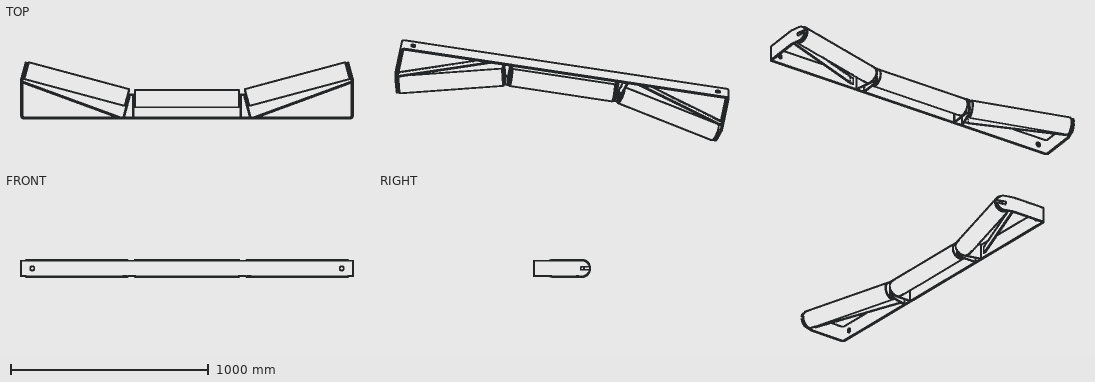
import cadquery as cq
import math

PLATE_WIDTH = 79.0

FRAME_LENGTH = 1680.0
PLATE_THICKNESS = 8.0
BEND_RADIUS = 13.0
LEG_HEIGHT = 198.0
BOLT_HOLE_DIAMETER = 22.0
BOLT_HOLE_X = 783.0

TILT = 15.0
ROLLER_DIAMETER = 89.0
ROLLER_LENGTH = 530.0
ROLLER_CHAMFER = 2.5
CENTRE_ROLLER_Y = 100.0
WING_ROLLER_X = 558.0
WING_ROLLER_Y = 175.0
AXLE_DIAMETER = 20.0
AXLE_FLAT_WIDTH = 15.0

BRACKET_THICKNESS = 5.0
BRACKET_GAP = 5.9
BRACKET_TOP_Y = 125.0

BRACE_WIDTH = 35.0
BRACE_THICKNESS = 6.0
BRACE_TOP_Y = 188.0
BRACE_FOOT_X = 341.0

tilt_sin = math.sin(math.radians(TILT))
tilt_cos = math.cos(math.radians(TILT))
half_length = FRAME_LENGTH / 2
leg_inner_x = half_length - PLATE_THICKNESS


def along_wing(along, across):
    """XY point on the right wing, measured along and across the axis from its roller's centre."""
    x = WING_ROLLER_X + along * tilt_cos - across * tilt_sin
    y = WING_ROLLER_Y + along * tilt_sin + across * tilt_cos
    return x, y


def wing_point_at_height(along, y):
    """XY point on the plane square to the right wing roller's axis at `along`, at height `y`."""
    across = (y - WING_ROLLER_Y - along * tilt_sin) / tilt_cos
    return along_wing(along, across)


def onto_right_wing(body):
    """Move a body from the X axis onto the right wing roller's axis."""
    return body.rotate((0, 0, 0), (0, 0, 1), TILT).translate((WING_ROLLER_X, WING_ROLLER_Y, 0))


def onto_centre(body):
    """Move a body from the X axis onto the centre roller's axis."""
    return body.translate((0, CENTRE_ROLLER_Y, 0))


def both_sides(body):
    """The body on the right and its mirror image on the left."""
    return [body, body.mirror("YZ")]


def bar(outline, width):
    """A bar with the given XY outline, centred on Z = 0."""
    return cq.Workplane("XY").polyline(outline).close().extrude(width / 2, both=True)


bracket_near = -ROLLER_LENGTH / 2 - BRACKET_GAP
bracket_far = bracket_near - BRACKET_THICKNESS
tongue_outer = (half_length - WING_ROLLER_X) * tilt_cos + (LEG_HEIGHT - WING_ROLLER_Y) * tilt_sin
tongue_inner = tongue_outer - PLATE_THICKNESS
upright_inner = ROLLER_LENGTH / 2 + BRACKET_GAP
upright_outer = upright_inner + BRACKET_THICKNESS


def flatted_axle(start, end):
    """An axle along X with flats facing up and down in Z."""
    rod = cq.Workplane("YZ", origin=(start, 0, 0)).circle(AXLE_DIAMETER / 2).extrude(end - start)
    flats = cq.Workplane("XY").box(2 * ROLLER_LENGTH, AXLE_DIAMETER, AXLE_FLAT_WIDTH)
    return rod.intersect(flats)


def axle_slot(start, end):
    """A slot along X that fits the axle and is open towards +Y."""
    depth = PLATE_WIDTH
    mouth = cq.Workplane("XY").box(end - start, depth, AXLE_FLAT_WIDTH)
    mouth = mouth.translate(((start + end) / 2, depth / 2, 0))
    return mouth.union(flatted_axle(start, end))


def make_roller(axle_start, axle_end):
    """A roller along X, centred on the origin, with its axle ends."""
    left_end = (-ROLLER_LENGTH / 2, 0, 0)
    shell = cq.Workplane("YZ", origin=left_end).circle(ROLLER_DIAMETER / 2).extrude(ROLLER_LENGTH)
    shell = shell.edges().chamfer(ROLLER_CHAMFER)
    return shell.union(flatted_axle(axle_start, axle_end))


def make_tongue():
    """The round-ended right tongue, which carries the outer end of the wing roller's axle."""
    foot_across = (LEG_HEIGHT - WING_ROLLER_Y - tongue_outer * tilt_sin) / tilt_cos
    tongue = (
        cq.Workplane("YZ", origin=(tongue_inner, 0, 0))
        .moveTo(foot_across, -PLATE_WIDTH / 2)
        .lineTo(0, -PLATE_WIDTH / 2)
        .threePointArc((PLATE_WIDTH / 2, 0), (0, PLATE_WIDTH / 2))
        .lineTo(foot_across, PLATE_WIDTH / 2)
        .close()
        .extrude(PLATE_THICKNESS)
        .cut(axle_slot(tongue_inner, tongue_outer))
    )
    return onto_right_wing(tongue)


def make_frame():
    """The bent strip with both tongues and the bolt holes through its base."""
    strip = cq.Workplane("XY").box(FRAME_LENGTH, LEG_HEIGHT, PLATE_WIDTH, centered=(True, False, True))
    strip = strip.edges("|Z and <Y").fillet(BEND_RADIUS)
    inside = cq.Workplane("XY").box(2 * leg_inner_x, LEG_HEIGHT, PLATE_WIDTH, centered=(True, False, True))
    inside = inside.translate((0, PLATE_THICKNESS, 0))
    inside = inside.edges("|Z and <Y").fillet(BEND_RADIUS - PLATE_THICKNESS)
    frame = strip.cut(inside)
    for tongue in both_sides(make_tongue()):
        frame = frame.union(tongue)
    holes = (
        cq.Workplane("XZ")
        .pushPoints([(-BOLT_HOLE_X, 0), (BOLT_HOLE_X, 0)])
        .circle(BOLT_HOLE_DIAMETER / 2)
        .extrude(-PLATE_THICKNESS)
    )
    return frame.cut(holes)


def make_bracket():
    """The right inner bracket, between the centre roller and the right wing roller."""
    web_bottom = BRACKET_TOP_Y - BRACKET_THICKNESS
    bracket = bar(
        [
            (upright_inner, PLATE_THICKNESS),
            (upright_inner, BRACKET_TOP_Y),
            wing_point_at_height(bracket_near, BRACKET_TOP_Y),
            wing_point_at_height(bracket_near, PLATE_THICKNESS),
            wing_point_at_height(bracket_far, PLATE_THICKNESS),
            wing_point_at_height(bracket_far, web_bottom),
            (upright_outer, web_bottom),
            (upright_outer, PLATE_THICKNESS),
        ],
        PLATE_WIDTH,
    )
    bracket = bracket.cut(onto_centre(axle_slot(upright_inner, upright_outer)))
    return bracket.cut(onto_right_wing(axle_slot(bracket_far, bracket_near)))


def make_brace():
    """The right brace, its ends cut to lie flat on the leg and on the base."""
    slope = math.atan2(BRACE_TOP_Y - PLATE_THICKNESS, leg_inner_x - BRACE_FOOT_X)
    return bar(
        [
            (BRACE_FOOT_X, PLATE_THICKNESS),
            (leg_inner_x, BRACE_TOP_Y),
            (leg_inner_x, BRACE_TOP_Y - BRACE_THICKNESS / math.cos(slope)),
            (BRACE_FOOT_X + BRACE_THICKNESS / math.sin(slope), PLATE_THICKNESS),
        ],
        BRACE_WIDTH,
    )


frame = make_frame()
centre_roller = onto_centre(make_roller(-upright_outer, upright_outer))
wing_rollers = both_sides(onto_right_wing(make_roller(bracket_far, tongue_outer)))
brackets = both_sides(make_bracket())
braces = both_sides(make_brace())

bodies = [frame, centre_roller, *wing_rollers, *brackets, *braces]
result = cq.Compound.makeCompound([body.val() for body in bodies])